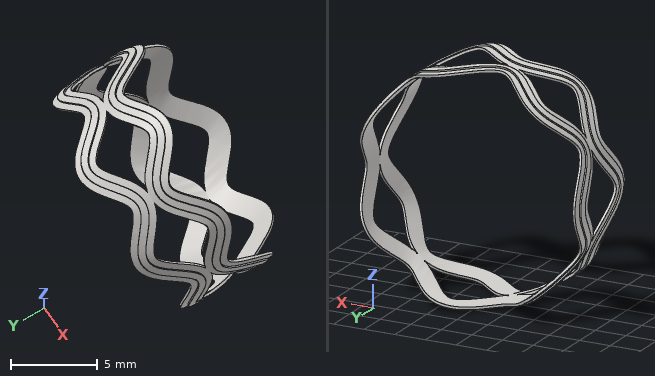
import math

import cadquery as cq


ridge_radius = 7.445
ridge_height = 0.10
shoulder_radius = ridge_radius - ridge_height
band_thickness = 0.18

wave_count = 7
wave_amplitude = 0.91
band_width = 1.40
ridge_width = band_width / 3
overall_width = 6.34
steepest_slope = wave_amplitude * wave_count / shoulder_radius

steepest_heading = math.atan(steepest_slope)
crest_lean = steepest_heading / wave_count
wave_middle_y = overall_width / 2 - wave_amplitude - band_width / 2 * math.cos(crest_lean)

half_band = band_width / 2
half_ridge = ridge_width / 2
section = [
    (-half_band, -band_thickness),
    (-half_band, 0),
    (-half_ridge, 0),
    (-half_ridge, ridge_height),
    (half_ridge, ridge_height),
    (half_ridge, 0),
    (half_band, 0),
    (half_band, -band_thickness),
]

points_per_wave = 16
steps_per_half = wave_count * points_per_wave // 2


def band_point(angle, across, height):
    """Point of the band's cross-section at an angle round the Y axis, running from +Z to +X."""
    phase = wave_count * angle
    outward = cq.Vector(math.sin(angle), 0, math.cos(angle))
    around = cq.Vector(math.cos(angle), 0, -math.sin(angle))
    axial = cq.Vector(0, 1, 0)

    middle = outward * shoulder_radius + axial * (wave_middle_y + wave_amplitude * math.sin(phase))
    heading = math.atan(steepest_slope * math.cos(phase))
    sideways = axial * math.cos(heading) - around * math.sin(heading)
    lean = math.asin(math.sin(steepest_heading) * math.sin(phase)) / wave_count
    across_direction = sideways * math.cos(lean) - outward * math.sin(lean)
    height_direction = outward * math.cos(lean) + sideways * math.sin(lean)
    return middle + across_direction * across + height_direction * height


def band_edge(start_angle, across, height):
    """Smooth edge running half a turn along the band."""
    angles = [start_angle + math.pi * step / steps_per_half for step in range(steps_per_half + 1)]
    return cq.Edge.makeSpline([band_point(angle, across, height) for angle in angles])


def half_ring_faces(start_angle):
    """Faces along half a turn of the band, one for each side of the cross-section."""
    edges = [band_edge(start_angle, across, height) for across, height in section]
    return [cq.Face.makeRuledSurface(edges[i - 1], edges[i]) for i in range(len(edges))]


def wavy_ring():
    """One complete band, closed on itself."""
    faces = half_ring_faces(0) + half_ring_faces(math.pi)
    return cq.Workplane(obj=cq.Solid.makeSolid(cq.Shell.makeShell(faces)))


def trimmed_ring():
    """The +Y band, cut flat where its wave reaches past the plane Y = 0."""
    reach = 2 * ridge_radius
    keep = cq.Workplane("XY").box(2 * reach, reach, 2 * reach).translate((0, reach / 2, 0))
    return wavy_ring().intersect(keep)


ring = trimmed_ring()
result = ring.union(ring.mirror("XZ"), clean=False)